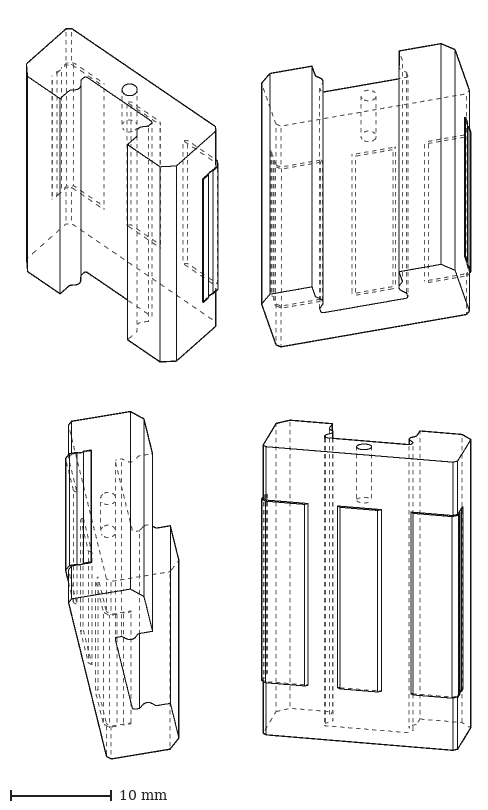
import cadquery as cq

LENGTH = 30.8
BLOCK_WIDTH = 20.0
BLOCK_TOP = 7.8

BODY_WIDTH = 19.8
BODY_TOP = 7.5
BODY_TOP_CHAMFER = 0.4
BODY_BASE_CHAMFER = 1.15

SLOT_HALF_WIDTH = 4.45
SLOT_DEPTH = 3.82
SLOT_CORNER_RADIUS = 0.25
RIDGE_HEIGHT = 0.55
RIDGE_FOOT = 1.45
RIDGE_LOWER_RUN = 0.55
RIDGE_FLAT = 0.5
RIDGE_UPPER_RUN = 0.65
RIDGE_TIP_RADIUS = 0.6
RIDGE_FOOT_RADIUS = 0.35

BLOCK_LENGTH = 19.4
BLOCK_DROP = 2.7
BLOCK_CHAMFER = 0.5
SIDE_GROOVE_CENTRE_DROP = 1.6
SIDE_GROOVE_WIDTH = 0.66
SIDE_GROOVE_DEPTH = 0.13

CHANNEL_CENTRE = 3.72
CHANNEL_FLOOR_WIDTH = 3.0

OIL_HOLE_DIAMETER = 1.5
OIL_HOLE_HEIGHT = 5.4
OIL_HOLE_DEPTH = (LENGTH - BLOCK_LENGTH) / 2


def extrude_centred(outline, length):
    """Extrude a closed XY outline by the given length, centred on Z = 0."""
    return outline.extrude(length / 2, both=True)


def make_body():
    """Main prism with chamfered long edges."""
    half = BODY_WIDTH / 2
    outline = cq.Workplane("XY").polyline([
        (-half + BODY_BASE_CHAMFER, 0),
        (half - BODY_BASE_CHAMFER, 0),
        (half, BODY_BASE_CHAMFER),
        (half, BODY_TOP - BODY_TOP_CHAMFER),
        (half - BODY_TOP_CHAMFER, BODY_TOP),
        (-half + BODY_TOP_CHAMFER, BODY_TOP),
        (-half, BODY_TOP - BODY_TOP_CHAMFER),
        (-half, BODY_BASE_CHAMFER),
    ]).close()
    return extrude_centred(outline, LENGTH)


def side_groove(side):
    """Shallow round-bottomed groove along one side (-1 or +1) of the raised block."""
    face = side * BLOCK_WIDTH / 2
    centre = BLOCK_TOP - SIDE_GROOVE_CENTRE_DROP
    half = SIDE_GROOVE_WIDTH / 2
    outline = (
        cq.Workplane("XY")
        .moveTo(face, centre - half)
        .threePointArc((face - side * SIDE_GROOVE_DEPTH, centre), (face, centre + half))
        .close()
    )
    return extrude_centred(outline, BLOCK_LENGTH)


def top_channel(side):
    """Flared channel on one side (-1 or +1) of the middle land, down to the body top."""
    rise = BLOCK_TOP - BODY_TOP
    centre = side * CHANNEL_CENTRE
    floor = CHANNEL_FLOOR_WIDTH / 2
    outline = cq.Workplane("XY").polyline([
        (centre - floor, BODY_TOP),
        (centre + floor, BODY_TOP),
        (centre + floor + rise, BLOCK_TOP),
        (centre - floor - rise, BLOCK_TOP),
    ]).close()
    return extrude_centred(outline, BLOCK_LENGTH)


def make_block():
    """Raised steel block with chamfered top edges, before its grooves and channels."""
    return (
        cq.Workplane("XY")
        .box(BLOCK_WIDTH, BLOCK_DROP, BLOCK_LENGTH)
        .translate((0, BLOCK_TOP - BLOCK_DROP / 2, 0))
        .faces(">Y").edges("|Z").chamfer(BLOCK_CHAMFER)
    )


def fillet_long_edges(solid, y_low, y_high, radius):
    """Fillet the edges along Z whose height lies between y_low and y_high."""
    zone = cq.selectors.BoxSelector((-BODY_WIDTH, y_low, -LENGTH), (BODY_WIDTH, y_high, LENGTH))
    return solid.edges("|Z").edges(zone).fillet(radius)


def make_slot():
    """Rail slot as a solid to remove, narrowed by a rounded ridge on each wall."""
    ridge_x = SLOT_HALF_WIDTH - RIDGE_HEIGHT
    flat_low = RIDGE_FOOT + RIDGE_LOWER_RUN
    flat_high = flat_low + RIDGE_FLAT
    ridge_top = flat_high + RIDGE_UPPER_RUN
    right_wall = [
        (SLOT_HALF_WIDTH, 0),
        (SLOT_HALF_WIDTH, RIDGE_FOOT),
        (ridge_x, flat_low),
        (ridge_x, flat_high),
        (SLOT_HALF_WIDTH, ridge_top),
        (SLOT_HALF_WIDTH, SLOT_DEPTH),
    ]
    left_wall = [(-x, y) for x, y in reversed(right_wall)]
    outline = cq.Workplane("XY").polyline(right_wall + left_wall).close()
    slot = extrude_centred(outline, LENGTH)
    slot = slot.faces(">Y").edges("|Z").fillet(SLOT_CORNER_RADIUS)

    below_flat = flat_low - RIDGE_LOWER_RUN / 2
    above_flat = flat_high + RIDGE_UPPER_RUN / 2
    slot = fillet_long_edges(slot, below_flat, above_flat, RIDGE_TIP_RADIUS)
    return fillet_long_edges(slot, RIDGE_FOOT / 2, RIDGE_FOOT + RIDGE_LOWER_RUN / 4, RIDGE_FOOT_RADIUS)


def make_oil_hole():
    """Blind hole running down from the +Z end."""
    return (
        cq.Workplane("XY", origin=(0, OIL_HOLE_HEIGHT, LENGTH / 2))
        .circle(OIL_HOLE_DIAMETER / 2)
        .extrude(-OIL_HOLE_DEPTH)
    )


result = make_body().union(make_block())
for side in (-1, 1):
    result = result.cut(side_groove(side)).cut(top_channel(side))
result = result.cut(make_slot()).cut(make_oil_hole())